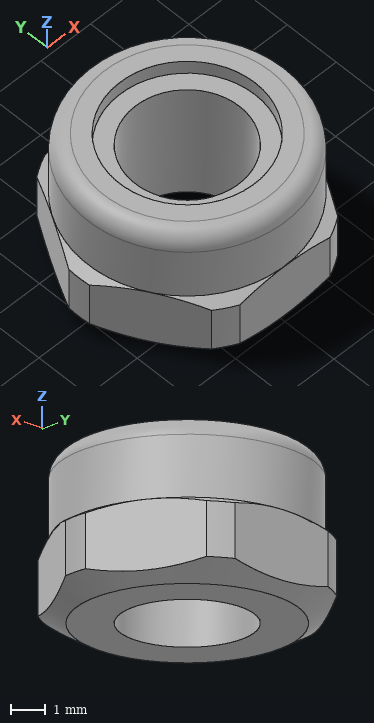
import cadquery as cq
import math

corner_diameter = 8.79
across_flats = 8.0
total_height = 5.0

hex_height = 2.45
chamfer_angle = 30.0
bottom_face_diameter = 6.98
collar_diameter = 7.99
collar_fillet = 0.63

bore_diameter = 4.2
recess_diameter = 5.47
recess_depth = 0.52


def chamfer_rise(inner_diameter):
    """Height of the cone between an inner diameter and the turned corners."""
    return (corner_diameter - inner_diameter) / 2 * math.tan(math.radians(chamfer_angle))


def make_hex_base():
    across_corners = across_flats / math.cos(math.radians(30))
    prism = cq.Workplane("XY").polygon(6, across_corners).extrude(hex_height)

    corner_radius = corner_diameter / 2
    envelope = (
        cq.Workplane("XZ")
        .lineTo(bottom_face_diameter / 2, 0)
        .lineTo(corner_radius, chamfer_rise(bottom_face_diameter))
        .lineTo(corner_radius, hex_height - chamfer_rise(collar_diameter))
        .lineTo(collar_diameter / 2, hex_height)
        .lineTo(0, hex_height)
        .close()
        .revolve(360, (0, 0, 0), (0, 1, 0))
    )
    return prism.intersect(envelope)


def make_collar():
    return (
        cq.Workplane("XY")
        .workplane(offset=hex_height)
        .circle(collar_diameter / 2)
        .extrude(total_height - hex_height)
        .faces(">Z")
        .edges()
        .fillet(collar_fillet)
    )


def make_bore():
    through_hole = cq.Workplane("XY").circle(bore_diameter / 2).extrude(total_height)
    recess = (
        cq.Workplane("XY")
        .workplane(offset=total_height - recess_depth)
        .circle(recess_diameter / 2)
        .extrude(recess_depth)
    )
    return through_hole.union(recess)


result = make_hex_base().union(make_collar()).cut(make_bore())